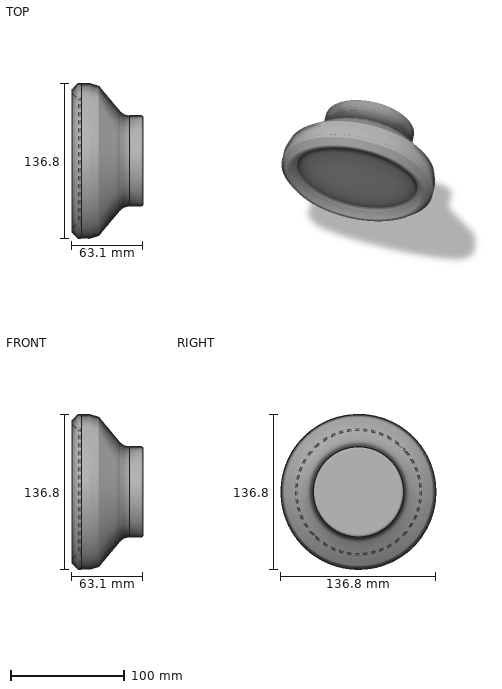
import cadquery as cq
import math

OVERALL_LENGTH = 63.1
MATCH_TOLERANCE = 0.01

BEZEL_RADIUS = 68.4
BEZEL_END = 8.5
CROWN_DROP = 0.07
FRONT_CREST_RADIUS = 61.3
FRONT_LAND_OUTER_RADIUS = 62.7
FRONT_LAND_INNER_RADIUS = 59.8
SIDE_LAND_START = 5.6
SIDE_CREST_POSITION = 7.1
CORNER_ROUND = 1.0
BACK_CORNER_ROUND = 0.3

OPENING_TAPER_ANGLE = 47.0
OPENING_RADIUS = 54.3
OPENING_WALL_LENGTH = 1.1
OPENING_ROUND = 0.4

LIP_WIDTH = 1.4
FLOOR_RADIUS = 53.1
RECESS_ROUND = 1.1

RIM_RADIUS = 68.3
RIM_END = 15.9
RIM_TAPER_ANGLE = 17.0
RIM_ROUND = 5.6
FUNNEL_START = 23.8
FUNNEL_ANGLE = 50.2
SHOULDER_ROUND = 2.3
NECK_RADIUS = 79.6 / 2
NECK_ROUND = 9.5
COLLAR_START = 50.9
COLLAR_RADIUS = 80.0 / 2
COLLAR_ROUND = 2.5

land_edge_radius = BEZEL_RADIUS - CROWN_DROP
taper_slope = math.tan(math.radians(OPENING_TAPER_ANGLE))
taper_end = CROWN_DROP + (FRONT_LAND_INNER_RADIUS - OPENING_RADIUS) * taper_slope
lip_position = taper_end + OPENING_WALL_LENGTH
lip_outer_radius = OPENING_RADIUS + LIP_WIDTH
floor_position = lip_position + (OPENING_RADIUS - FLOOR_RADIUS) * taper_slope
shoulder_radius = RIM_RADIUS - (FUNNEL_START - RIM_END) * math.tan(math.radians(RIM_TAPER_ANGLE))
funnel_end = FUNNEL_START + (shoulder_radius - NECK_RADIUS) / math.tan(math.radians(FUNNEL_ANGLE))


def turn(points):
    """Turns a closed outline of (position, radius) points about the X axis."""
    return cq.Workplane("XY").polyline(points).close().revolve(360, (0, 0, 0), (1, 0, 0))


def round_edge(body, position, radius, size):
    """Fillets the circular edge that has the given X position and radius."""

    def is_wanted(edge):
        same_position = abs(edge.Center().x - position) < MATCH_TOLERANCE
        return same_position and abs(edge.radius() - radius) < MATCH_TOLERANCE

    return body.edges("%CIRCLE").filter(is_wanted).fillet(size)


def make_bezel():
    ring = turn([
        (0, FRONT_CREST_RADIUS),
        (CROWN_DROP, FRONT_LAND_OUTER_RADIUS),
        (SIDE_LAND_START, land_edge_radius),
        (SIDE_CREST_POSITION, BEZEL_RADIUS),
        (BEZEL_END, land_edge_radius),
        (BEZEL_END, lip_outer_radius),
        (lip_position, lip_outer_radius),
        (lip_position, OPENING_RADIUS),
        (taper_end, OPENING_RADIUS),
        (CROWN_DROP, FRONT_LAND_INNER_RADIUS),
    ])
    ring = round_edge(ring, CROWN_DROP, FRONT_LAND_INNER_RADIUS, CORNER_ROUND)
    ring = round_edge(ring, CROWN_DROP, FRONT_LAND_OUTER_RADIUS, CORNER_ROUND)
    ring = round_edge(ring, SIDE_LAND_START, land_edge_radius, CORNER_ROUND)
    ring = round_edge(ring, BEZEL_END, land_edge_radius, BACK_CORNER_ROUND)
    return round_edge(ring, taper_end, OPENING_RADIUS, OPENING_ROUND)


def make_housing():
    body = turn([
        (floor_position, 0),
        (floor_position, FLOOR_RADIUS),
        (lip_position, OPENING_RADIUS),
        (lip_position, lip_outer_radius),
        (BEZEL_END, lip_outer_radius),
        (BEZEL_END, RIM_RADIUS),
        (RIM_END, RIM_RADIUS),
        (FUNNEL_START, shoulder_radius),
        (funnel_end, NECK_RADIUS),
        (COLLAR_START, NECK_RADIUS),
        (COLLAR_START, COLLAR_RADIUS),
        (OVERALL_LENGTH, COLLAR_RADIUS),
        (OVERALL_LENGTH, 0),
    ])
    body = round_edge(body, floor_position, FLOOR_RADIUS, RECESS_ROUND)
    body = round_edge(body, RIM_END, RIM_RADIUS, RIM_ROUND)
    body = round_edge(body, FUNNEL_START, shoulder_radius, SHOULDER_ROUND)
    body = round_edge(body, funnel_end, NECK_RADIUS, NECK_ROUND)
    return round_edge(body, OVERALL_LENGTH, COLLAR_RADIUS, COLLAR_ROUND)


bezel = make_bezel()
housing = make_housing()
result = cq.Compound.makeCompound([bezel.solids().val(), housing.solids().val()])